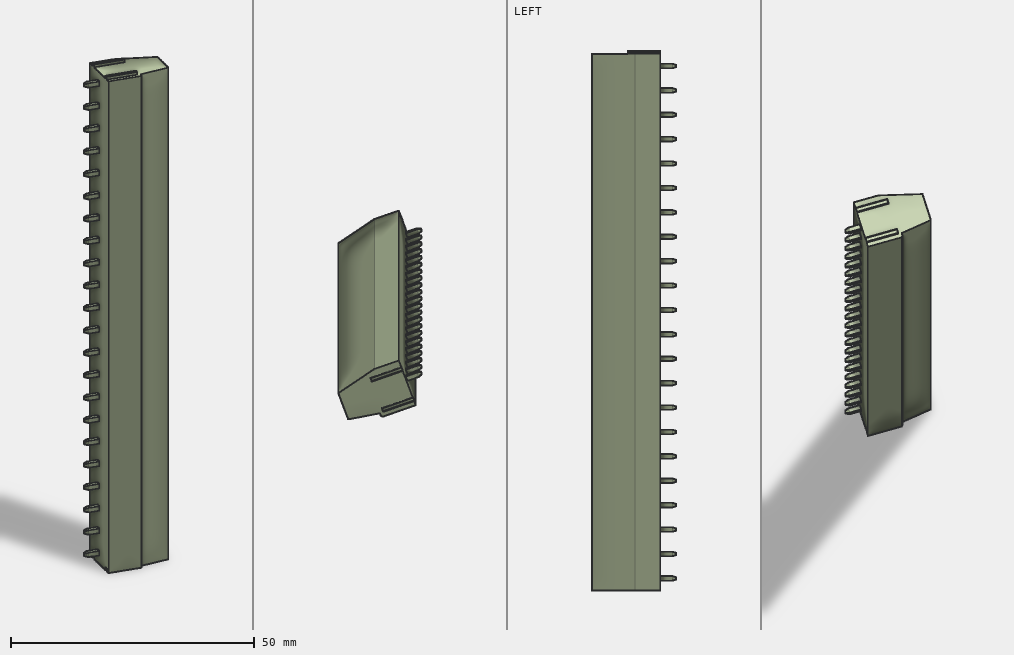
import cadquery as cq

total_length = 110.6
total_depth = 17.3
body_width = 10.2

pin_count = 22
rib_height = 0.6
body_length = total_length - rib_height
pitch = body_length / pin_count
pin_length = 3.2
body_depth = total_depth - pin_length
back_left = 2.3
back_right = 8.3
left_wall_depth = 5.3
ledge_depth = 7.5
ledge_inner = 9.3
ledge_chamfer = 0.3

rib_width = 1.0
rib_length = 6.7
rib_centers = (1.9, 8.7)
nose_depth = 0.2
nose_height = 0.35

pin_x = 4.8
pin_width = 1.0
tip_length = 0.8
tip_width = 0.5


def make_body():
    """Housing standing on Z = 0 with the pin face on Y = 0."""
    profile = [
        (0, 0),
        (body_width, 0),
        (body_width, ledge_depth - ledge_chamfer),
        (body_width - ledge_chamfer, ledge_depth),
        (ledge_inner, ledge_depth),
        (back_right, body_depth),
        (back_left, body_depth),
        (0, left_wall_depth),
    ]
    return cq.Workplane("XY").polyline(profile).close().extrude(body_length)


def make_ribs(base_z):
    """Pair of ribs rising from base_z, with a pointed left flank, flush with the pin face."""
    ribs = cq.Workplane("XZ")
    for center in rib_centers:
        left = center - rib_width / 2
        right = center + rib_width / 2
        profile = [
            (left + nose_depth, base_z),
            (right, base_z),
            (right, base_z + rib_height),
            (left + nose_depth, base_z + rib_height),
            (left, base_z + nose_height),
        ]
        ribs = ribs.polyline(profile).close()
    return ribs.extrude(-rib_length)


def make_pin(z):
    """Pin pointing toward -Y, with a tapered tip."""
    face = cq.Workplane("XZ", origin=(pin_x, 0, z))
    shank_length = pin_length - tip_length
    shank = face.rect(pin_width, pin_width).extrude(shank_length)
    tip = (
        face.workplane(offset=shank_length)
        .rect(pin_width, pin_width)
        .workplane(offset=tip_length)
        .rect(tip_width, tip_width)
        .loft(ruled=True)
    )
    return shank.union(tip)


grooves = make_ribs(0)
ribs = make_ribs(body_length)
result = make_body().cut(grooves).union(ribs)
for index in range(pin_count):
    result = result.union(make_pin((index + 0.5) * pitch))